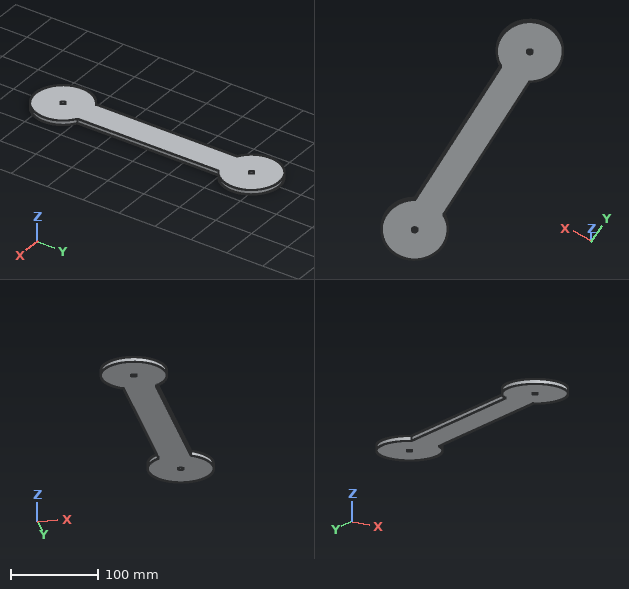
import cadquery as cq

overall_length = 338.3
disc_diameter = 76.0
bar_width = 38.0
thickness = 6.0
hole_diameter = 6.0

centre_spacing = overall_length - disc_diameter
disc_centres = [(0, -centre_spacing / 2), (0, centre_spacing / 2)]

bar = cq.Workplane("XY").rect(bar_width, centre_spacing).extrude(thickness)

discs = cq.Workplane("XY").pushPoints(disc_centres).circle(disc_diameter / 2).extrude(thickness)

holes = cq.Workplane("XY").pushPoints(disc_centres).circle(hole_diameter / 2).extrude(thickness)

result = bar.union(discs).cut(holes)